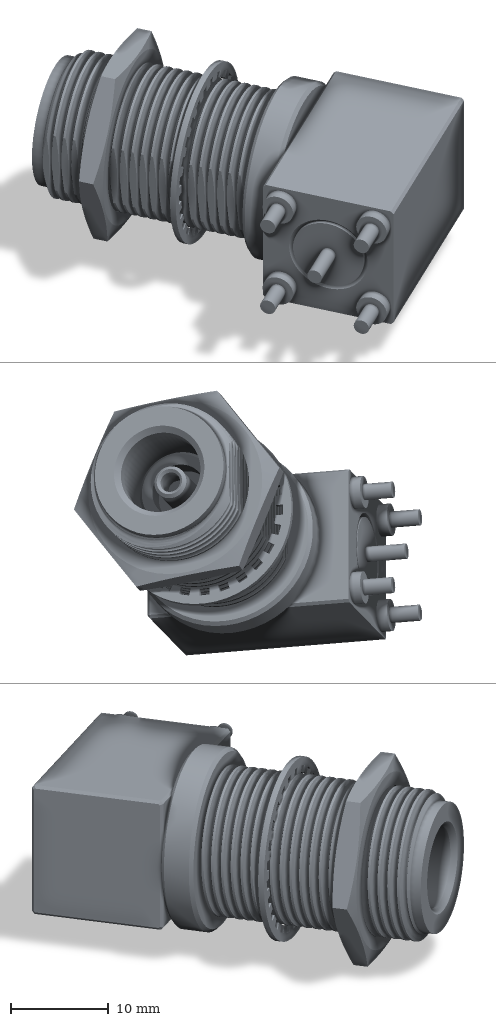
import cadquery as cq
import math


nose_radius = 6.85
nose_length = 1.1
thread_major_radius = 7.82
thread_pitch = 1.058
thread_start_x = -0.3
thread_lead_length = 0.65
thread_base_width = 1.0
thread_crest_width = 0.25
thread_root_overlap = 0.12
thread_flange_overlap = 0.4
thread_clearance = 0.005
thread_flat_y = -7.05
flange_start_x = 23.75
flange_radius = 9.55
flange_chamfer = 0.37
snout_radius = 6.15

box_start_x = 27.2
box_end_x = 41.4
box_back_y = 8.95
box_front_y = -12.5
box_chamfer = 0.3
bore_radius = 4.22
bore_mouth_chamfer = 0.6
exit_radius = 3.85
exit_mouth_chamfer = 0.4

box_width = box_end_x - box_start_x
box_depth = box_back_y - box_front_y
exit_x = (box_start_x + box_end_x) / 2

post_offset = 5.1
post_radius = 0.83
post_end_y = -16.66
collar_radius = 1.65
collar_length = 1.1

nut_start_x = 6.13
nut_thickness = 2.5
nut_across_flats = 19.05
nut_tilt = -7.0
nut_face_radius = 9.25
nut_chamfer_length = 0.475
nut_corner_radius = nut_across_flats / 2 / math.cos(math.pi / 6)

washer_start_x = 16.02
washer_thickness = 0.62
washer_radius = 9.55
washer_tooth_radius = 7.9
washer_slot_radius = 8.65
washer_slot_width = 1.08
washer_slot_count = 25
washer_first_slot_angle = 5.0

insulator_start_x = 7.45
insulator_chamfer = 0.3
insulator_recess_radius = 2.8
insulator_recess_depth = 2.5

contact_start_x = 3.95
contact_radius = 1.7
contact_lip_radius = 1.32
contact_tip_chamfer = 0.35
contact_hole_radius = 1.05
contact_hole_depth = 3.3
pin_radius = 0.8


def rod_x(radius, start, end):
    """Cylinder on the connector axis."""
    return cq.Workplane("YZ", origin=(start, 0, 0)).circle(radius).extrude(end - start)


def rod_y(radius, start, end, x=exit_x, z=0.0):
    """Cylinder that runs from start towards -Y."""
    return cq.Workplane("XZ", origin=(x, start, z)).circle(radius).extrude(start - end)


def turned_x(points):
    """Solid of revolution about the X axis from (x, radius) points."""
    return cq.Workplane("XY").polyline(points).close().revolve(360, (0, 0, 0), (1, 0, 0))


def make_thread_ridge():
    """Helical ridge of trapezoidal section, rooted just inside the barrel surface."""
    turns = math.ceil((flange_start_x - thread_start_x) / thread_pitch)
    inner_radius = nose_radius - thread_root_overlap
    helix = cq.Wire.makeHelix(thread_pitch, turns * thread_pitch, inner_radius)
    half_base = thread_base_width / 2
    half_crest = thread_crest_width / 2
    profile = (
        cq.Workplane("XZ")
        .polyline([
            (inner_radius, -half_base),
            (thread_major_radius, -half_crest),
            (thread_major_radius, half_crest),
            (inner_radius, half_base),
        ])
        .close()
    )
    ridge = profile.sweep(cq.Workplane(obj=helix), isFrenet=True)
    return ridge.rotate((0, 0, 0), (0, 1, 0), 90).translate((thread_start_x, 0, 0))


def make_barrel():
    """Threaded barrel with a flat along its -Y side and a flange at its rear."""
    thread_end_x = flange_start_x + thread_flange_overlap
    envelope_radius = thread_major_radius + thread_clearance
    envelope = turned_x([
        (nose_length, 0),
        (nose_length, nose_radius),
        (nose_length + thread_lead_length, envelope_radius),
        (thread_end_x, envelope_radius),
        (thread_end_x, 0),
    ])
    flat_cutter = cq.Workplane("XY").box(
        flange_start_x + flange_radius, flange_radius, 2 * flange_radius, centered=(False, False, True)
    ).translate((0, thread_flat_y - flange_radius, 0))
    ridge = make_thread_ridge().intersect(envelope.cut(flat_cutter))
    flange = rod_x(flange_radius, flange_start_x, box_start_x)
    flange = flange.faces("<X or >X").chamfer(flange_chamfer)
    barrel = rod_x(nose_radius, 0, box_start_x).union(ridge).union(flange)
    return barrel.cut(rod_x(snout_radius, 0, box_start_x))


def make_insulator_blank():
    """Solid elbow that fills the housing bore behind the insulator face."""
    inlet = rod_x(bore_radius, insulator_start_x, exit_x)
    outlet = rod_y(exit_radius, 0, box_front_y)
    return inlet.union(outlet)


def make_contact_blank():
    """Solid elbow of the contact, before its tip is shaped."""
    inlet = rod_x(contact_radius, contact_start_x, exit_x)
    outlet = rod_y(contact_radius, 0, box_front_y)
    return inlet.union(outlet)


def make_box():
    """Chamfered box and snout, bored for the insulator."""
    block = cq.Workplane("XY").box(box_width, box_depth, box_width)
    block = block.translate((exit_x, (box_back_y + box_front_y) / 2, 0))
    block = block.edges("|Y").chamfer(box_chamfer)
    block = block.faces(">Y").edges().chamfer(box_chamfer)
    snout = rod_x(snout_radius, 0, box_start_x)

    bore = turned_x([
        (0, 0),
        (0, bore_radius + bore_mouth_chamfer),
        (bore_mouth_chamfer, bore_radius),
        (insulator_start_x, bore_radius),
        (insulator_start_x, 0),
    ])
    exit_mouth = (
        cq.Workplane("XZ", origin=(exit_x, box_front_y, 0))
        .circle(exit_radius + exit_mouth_chamfer)
        .workplane(offset=-exit_mouth_chamfer)
        .circle(exit_radius)
        .loft()
    )
    return block.union(snout).cut(bore).cut(make_insulator_blank()).cut(exit_mouth)


def make_post(x, z):
    """Collared solder post standing on the box front."""
    collar = rod_y(collar_radius, box_front_y, box_front_y - collar_length, x, z)
    leg = rod_y(post_radius, box_front_y, post_end_y, x, z)
    return collar.union(leg)


def make_nut():
    """Hexagonal nut with both faces chamfered by cones."""
    hexagon = cq.Workplane("YZ").polygon(6, 2 * nut_corner_radius).extrude(nut_thickness)
    hexagon = hexagon.rotate((0, 0, 0), (1, 0, 0), nut_tilt)
    chamfer_cones = turned_x([
        (0, 0),
        (0, nut_face_radius),
        (nut_chamfer_length, nut_corner_radius),
        (nut_thickness - nut_chamfer_length, nut_corner_radius),
        (nut_thickness, nut_face_radius),
        (nut_thickness, 0),
    ])
    hole = rod_x(thread_major_radius, 0, nut_thickness)
    return hexagon.intersect(chamfer_cones).cut(hole).translate((nut_start_x, 0, 0))


def make_washer():
    """Flat ring with inner teeth between evenly spaced slots."""
    ring = cq.Workplane("YZ").circle(washer_radius).circle(washer_tooth_radius).extrude(washer_thickness)
    slot = cq.Workplane("XY").box(
        washer_thickness, washer_slot_width, washer_slot_radius, centered=(False, True, False)
    )
    for index in range(washer_slot_count):
        angle = washer_first_slot_angle + index * 360 / washer_slot_count
        ring = ring.cut(slot.rotate((0, 0, 0), (1, 0, 0), angle))
    return ring.translate((washer_start_x, 0, 0))


def make_insulator():
    """Insulator elbow with an annular recess around the contact."""
    body = make_insulator_blank().faces("<X").chamfer(insulator_chamfer)
    recess_end_x = insulator_start_x + insulator_recess_depth
    recess = rod_x(insulator_recess_radius, insulator_start_x, recess_end_x)
    return body.cut(recess).cut(make_contact_blank())


def make_contact():
    """Contact elbow with a socket at its tip and a thin solder pin."""
    body = make_contact_blank().faces("<X").chamfer(contact_tip_chamfer)
    countersink_depth = contact_lip_radius - contact_hole_radius
    socket = turned_x([
        (0, 0),
        (0, contact_lip_radius),
        (countersink_depth, contact_hole_radius),
        (contact_hole_depth, contact_hole_radius),
        (contact_hole_depth, 0),
    ]).translate((contact_start_x, 0, 0))
    pin = rod_y(pin_radius, box_front_y, post_end_y)
    return body.cut(socket).union(pin)


barrel = make_barrel()
box = make_box()
nut = make_nut()
washer = make_washer()
insulator = make_insulator()
contact = make_contact()
posts = [
    make_post(exit_x + side_x * post_offset, side_z * post_offset).val()
    for side_x in (-1, 1)
    for side_z in (-1, 1)
]

result = cq.Compound.makeCompound([
    barrel.val(),
    box.val(),
    nut.val(),
    washer.val(),
    insulator.val(),
    contact.val(),
    *posts,
])